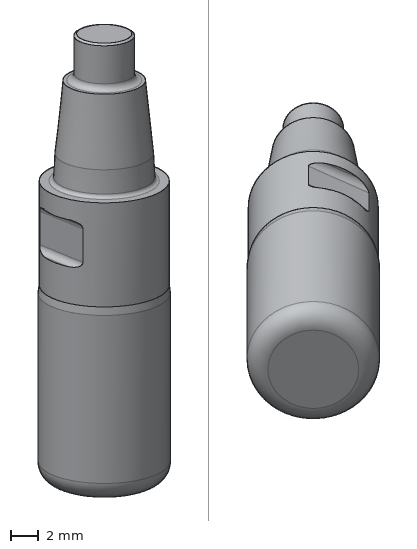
import cadquery as cq

TOTAL_HEIGHT = 34.1
JOINT_Z = 14.95
SHOULDER_Z = 22.88
TAPER_START_Z = 25.0
TAPER_END_Z = 30.55

CAP_DIAMETER = 9.5
CAP_RADIUS = CAP_DIAMETER / 2
CAP_END_FILLET = 1.5
CAP_BEVEL_HEIGHT = 0.6

COLLAR_RADIUS = 4.67
NOSE_BASE_RADIUS = 3.65
TAPER_START_RADIUS = 3.55
TAPER_END_RADIUS = 2.95
TIP_RADIUS = 2.18
NOSE_FILLET = 0.3
TIP_FILLET = 0.5
TIP_BEVEL_WIDTH = 0.2
TIP_BEVEL_HEIGHT = 0.15

FLAT_OFFSET = 4.0
FLAT_BOTTOM_Z = 17.73
FLAT_TOP_Z = 21.3
FLAT_FILLET = 0.5


def revolve_about_z(outline):
    """Close a radius-height outline and turn it about the Z axis."""
    return outline.close().revolve(360, (0, 0, 0), (0, 1, 0))


def make_cap():
    """Solid cylinder with a rounded closed end and a slim bevel up to the joint."""
    outline = (
        cq.Workplane("XZ")
        .lineTo(CAP_RADIUS - CAP_END_FILLET, 0)
        .tangentArcPoint((CAP_RADIUS, CAP_END_FILLET), relative=False)
        .lineTo(CAP_RADIUS, JOINT_Z - CAP_BEVEL_HEIGHT)
        .lineTo(COLLAR_RADIUS, JOINT_Z)
        .lineTo(0, JOINT_Z)
    )
    return revolve_about_z(outline)


def make_housing_blank():
    """Collar, tapered nose and cylindrical tip, with concave fillets at the steps."""
    outline = (
        cq.Workplane("XZ")
        .moveTo(0, JOINT_Z)
        .lineTo(COLLAR_RADIUS, JOINT_Z)
        .lineTo(COLLAR_RADIUS, SHOULDER_Z)
        .lineTo(NOSE_BASE_RADIUS + NOSE_FILLET, SHOULDER_Z)
        .tangentArcPoint((NOSE_BASE_RADIUS, SHOULDER_Z + NOSE_FILLET), relative=False)
        .lineTo(TAPER_START_RADIUS, TAPER_START_Z)
        .lineTo(TAPER_END_RADIUS, TAPER_END_Z)
        .lineTo(TIP_RADIUS + TIP_FILLET, TAPER_END_Z)
        .tangentArcPoint((TIP_RADIUS, TAPER_END_Z + TIP_FILLET), relative=False)
        .lineTo(TIP_RADIUS, TOTAL_HEIGHT - TIP_BEVEL_HEIGHT)
        .lineTo(TIP_RADIUS - TIP_BEVEL_WIDTH, TOTAL_HEIGHT)
        .lineTo(0, TOTAL_HEIGHT)
    )
    return revolve_about_z(outline)


def make_flat_cutter(side):
    """Block that cuts one wrench flat; side is -1 for -Y and +1 for +Y."""
    depth = COLLAR_RADIUS
    height = FLAT_TOP_Z - FLAT_BOTTOM_Z
    center_y = side * (FLAT_OFFSET + depth / 2)
    center_z = (FLAT_TOP_Z + FLAT_BOTTOM_Z) / 2
    inner_face = "<Y" if side > 0 else ">Y"
    return (
        cq.Workplane("XY")
        .box(2 * COLLAR_RADIUS, depth, height)
        .faces(inner_face)
        .edges("|X")
        .fillet(FLAT_FILLET)
        .translate((0, center_y, center_z))
    )


def make_housing():
    """Turned housing with two opposite wrench flats."""
    housing = make_housing_blank()
    for side in (-1, 1):
        housing = housing.cut(make_flat_cutter(side))
    return housing


cap = make_cap()
housing = make_housing()

result = cq.Compound.makeCompound([cap.val(), *housing.solids().vals()])